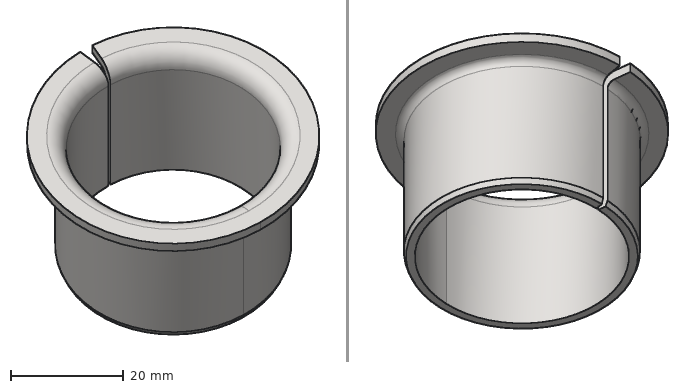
import cadquery as cq
import math

flange_radius = 26.0
height = 30.0
outer_radius = 21.0
wall = 2.0
neck_radius = 1.5
lead_in_height = 1.15
lead_in_angle = 20.0
gap_at_bore = 0.45
gap_at_rim = 2.65

bore_radius = outer_radius - wall
lip_radius = neck_radius + wall
flange_bottom = height - wall
lead_in_depth = lead_in_height * math.tan(math.radians(lead_in_angle))


def bushing_body():
    """Revolve the constant-thickness wall, bent outwards into the flange."""
    bend_r = outer_radius + neck_radius
    bend_z = flange_bottom - neck_radius
    diagonal = math.sqrt(0.5)
    neck_mid = (bend_r - neck_radius * diagonal, bend_z + neck_radius * diagonal)
    lip_mid = (bend_r - lip_radius * diagonal, bend_z + lip_radius * diagonal)
    return (
        cq.Workplane("XZ")
        .moveTo(bore_radius, 0)
        .lineTo(outer_radius - lead_in_depth, 0)
        .lineTo(outer_radius, lead_in_height)
        .lineTo(outer_radius, bend_z)
        .threePointArc(neck_mid, (bend_r, flange_bottom))
        .lineTo(flange_radius, flange_bottom)
        .lineTo(flange_radius, height)
        .lineTo(bend_r, height)
        .threePointArc(lip_mid, (bore_radius, bend_z))
        .close()
        .revolve(360, (0, 0, 0), (0, 1, 0))
    )


def split_wedge():
    """Full-height wedge on the -X side, widening from the bore to the rim."""
    slope = (gap_at_rim - gap_at_bore) / 2 / (flange_radius - bore_radius)
    tip_x = -bore_radius + gap_at_bore / 2 / slope
    end_x = -flange_radius - wall
    end_half_gap = (tip_x - end_x) * slope
    return (
        cq.Workplane("XY")
        .polyline([(tip_x, 0), (end_x, end_half_gap), (end_x, -end_half_gap)])
        .close()
        .extrude(height)
    )


result = bushing_body().cut(split_wedge())